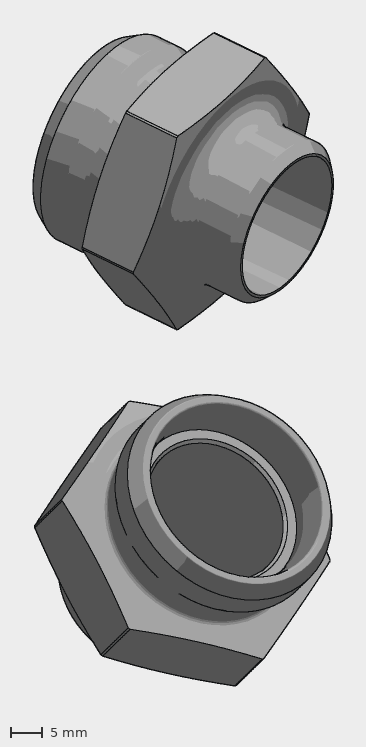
import cadquery as cq
import math

total_length = 38.0
hex_start = 14.0
hex_end = 26.0

hex_across_flats = 41.0
hex_across_corners = 47.15
hex_face_diameter = 39.9
hex_chamfer_angle = 15.0
hex_turn = 30.0

collar_radius = 36.0 / 2
neck_radius = 32.9 / 2
collar_end = 7.2
collar_taper_angle = 30.0
collar_edge_radius = 0.35
rim_edge_radius = 0.25
neck_blend_radius = 1.23
neck_corner_radius = 1.2

spigot_radius = 28.0 / 2
spigot_corner_radius = 4.0
spigot_chamfer = 1.55
spigot_edge_radius = 0.35

bore_radius = 24.0 / 2
seat_radius = 28.25 / 2
seat_depth = 7.55
seat_edge_chamfer = 0.5
cone_mouth_radius = 15.2
cone_half_angle = 12.0
mouth_edge_radius = 0.5


def revolve_about_x(profile):
    return profile.close().revolve(360, (0, 0, 0), (1, 0, 0))


def ring_edge(body, x, radius):
    """Return the circular edge of the given radius centred on the axis at x."""
    tolerance = 0.005
    reach = radius + tolerance
    corners = (x - tolerance, -reach, -reach), (x + tolerance, reach, reach)
    candidates = body.edges("%CIRCLE").edges(cq.selectors.BoxSelector(*corners, boundingbox=True))
    return candidates.filter(lambda edge: abs(edge.radius() - radius) < tolerance)


def make_hexagon():
    corner_radius = hex_across_corners / 2
    face_radius = hex_face_diameter / 2
    chamfer_length = (corner_radius - face_radius) * math.tan(math.radians(hex_chamfer_angle))
    prism = (
        cq.Workplane("YZ")
        .workplane(offset=hex_start)
        .polygon(6, hex_across_flats, circumscribed=True)
        .extrude(hex_end - hex_start)
        .rotate((0, 0, 0), (1, 0, 0), hex_turn)
    )
    turned_envelope = revolve_about_x(
        cq.Workplane("XY")
        .moveTo(hex_start, 0)
        .lineTo(hex_start, face_radius)
        .lineTo(hex_start + chamfer_length, corner_radius)
        .lineTo(hex_end - chamfer_length, corner_radius)
        .lineTo(hex_end, face_radius)
        .lineTo(hex_end, 0)
    )
    return prism.intersect(turned_envelope)


def make_body():
    taper_length = (collar_radius - neck_radius) / math.tan(math.radians(collar_taper_angle))
    neck_start = collar_end + taper_length
    chamfer_start = total_length - spigot_chamfer
    turned = revolve_about_x(
        cq.Workplane("XY")
        .lineTo(0, neck_radius)
        .lineTo(taper_length, collar_radius)
        .lineTo(collar_end, collar_radius)
        .lineTo(neck_start, neck_radius)
        .lineTo(hex_start, neck_radius)
        .lineTo(hex_start, spigot_radius)
        .lineTo(chamfer_start, spigot_radius)
        .lineTo(total_length, spigot_radius - spigot_chamfer)
        .lineTo(total_length, 0)
    )
    body = turned.union(make_hexagon())
    for x, radius, fillet_radius in (
        (0, neck_radius, rim_edge_radius),
        (collar_end, collar_radius, collar_edge_radius),
        (neck_start, neck_radius, neck_blend_radius),
        (hex_start, neck_radius, neck_corner_radius),
        (hex_end, spigot_radius, spigot_corner_radius),
        (chamfer_start, spigot_radius, spigot_edge_radius),
    ):
        body = ring_edge(body, x, radius).fillet(fillet_radius)
    return body


def make_bore():
    cone_length = (cone_mouth_radius - seat_radius) / math.tan(math.radians(cone_half_angle))
    return revolve_about_x(
        cq.Workplane("XY")
        .lineTo(0, cone_mouth_radius)
        .lineTo(cone_length, seat_radius)
        .lineTo(seat_depth, seat_radius)
        .lineTo(seat_depth, bore_radius + seat_edge_chamfer)
        .lineTo(seat_depth + seat_edge_chamfer, bore_radius)
        .lineTo(total_length, bore_radius)
        .lineTo(total_length, 0)
    )


bored_body = make_body().cut(make_bore())
result = ring_edge(bored_body, 0, cone_mouth_radius).fillet(mouth_edge_radius)